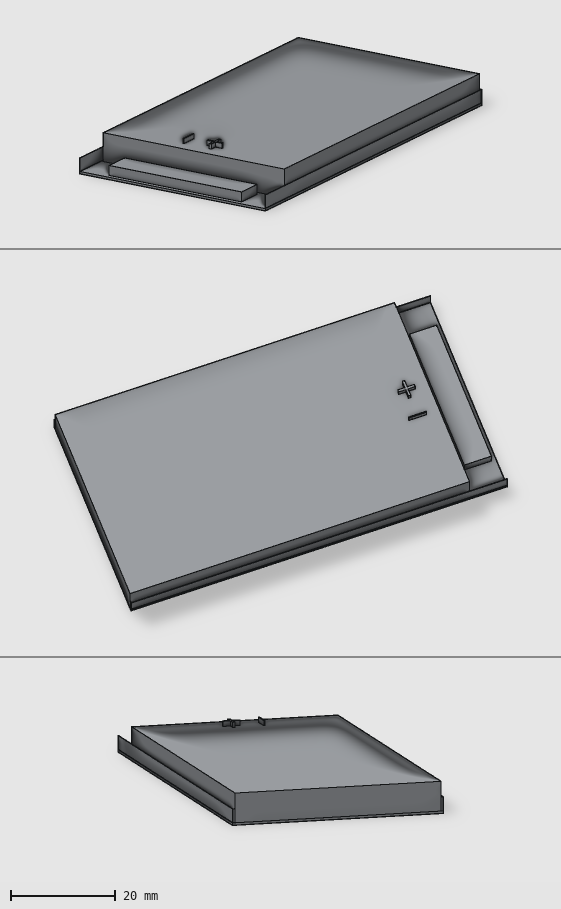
import cadquery as cq

BASE_WIDTH = 42.0
BASE_LENGTH = 76.5
BASE_THICKNESS = 0.5
PAD_WIDTH = 30.0
PAD_LENGTH = 5.5
PAD_HEIGHT = 2.0
PAD_FRONT_MARGIN = 1.0

SHELF_LENGTH = 7.5
SIDE_MARGIN = 0.5
CELL_TOP = 6.3
WALL_TOP = 3.2
WALL_THICKNESS = 0.1

OVERALL_HEIGHT = 7.3
MARK_FRONT_DISTANCE = 11.9
PLUS_X = 2.0
PLUS_SPAN = 3.4
PLUS_BAR_WIDTH = 0.5
MINUS_X = -4.05
MINUS_LENGTH = 3.6
MINUS_WIDTH = 0.2

FRONT_Y = -BASE_LENGTH / 2
BACK_Y = BASE_LENGTH / 2


def block(width, length, height, x, y, bottom):
    """Box centred on x and y, standing on the given level."""
    return (
        cq.Workplane("XY")
        .box(width, length, height, centered=(True, True, False))
        .translate((x, y, bottom))
    )


def make_base():
    plate = block(BASE_WIDTH, BASE_LENGTH, BASE_THICKNESS, 0, 0, 0)
    pad_y = FRONT_Y + PAD_FRONT_MARGIN + PAD_LENGTH / 2
    pad = block(PAD_WIDTH, PAD_LENGTH, PAD_HEIGHT, 0, pad_y, BASE_THICKNESS)
    return plate.union(pad)


def make_walls():
    """U-shaped thin wall along both sides and the back of the base."""
    height = WALL_TOP - BASE_THICKNESS
    back_y = BACK_Y - WALL_THICKNESS / 2
    walls = block(BASE_WIDTH, WALL_THICKNESS, height, 0, back_y, BASE_THICKNESS)
    side_x = (BASE_WIDTH - WALL_THICKNESS) / 2
    for x in (-side_x, side_x):
        walls = walls.union(block(WALL_THICKNESS, BASE_LENGTH, height, x, 0, BASE_THICKNESS))
    return walls


def make_marks():
    """Plus and minus signs standing on the top of the cell."""
    height = OVERALL_HEIGHT - CELL_TOP
    y = FRONT_Y + MARK_FRONT_DISTANCE
    plus_along_x = block(PLUS_SPAN, PLUS_BAR_WIDTH, height, PLUS_X, y, CELL_TOP)
    plus_along_y = block(PLUS_BAR_WIDTH, PLUS_SPAN, height, PLUS_X, y, CELL_TOP)
    minus = block(MINUS_WIDTH, MINUS_LENGTH, height, MINUS_X, y, CELL_TOP)
    return plus_along_x.union(plus_along_y).union(minus)


def make_cell():
    width = BASE_WIDTH - 2 * SIDE_MARGIN
    length = BASE_LENGTH - SHELF_LENGTH
    height = CELL_TOP - BASE_THICKNESS
    cell = block(width, length, height, 0, SHELF_LENGTH / 2, BASE_THICKNESS)
    return cell.union(make_walls()).union(make_marks())


base = make_base()
cell = make_cell()
result = cq.Compound.makeCompound([base.val(), cell.val()])